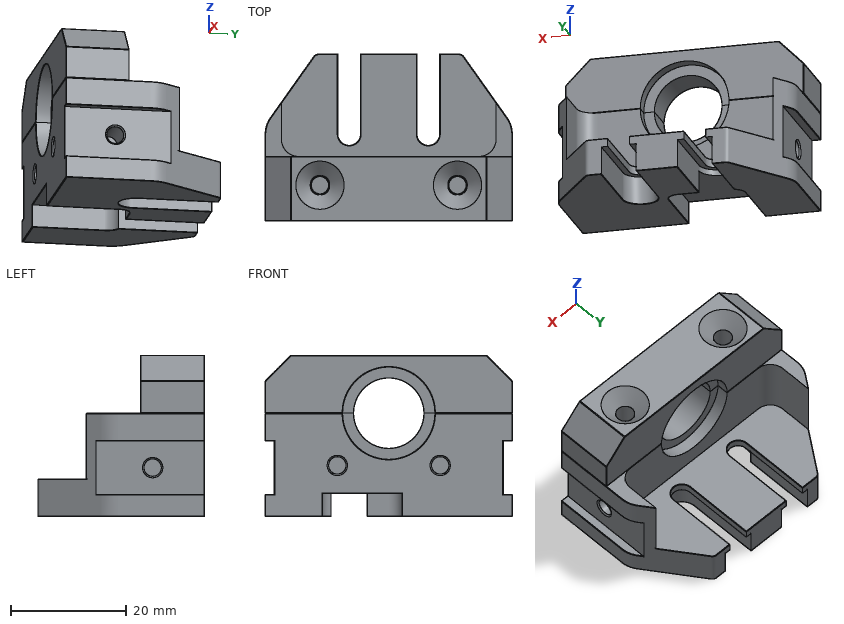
import cadquery as cq

WIDTH = 42.9
LENGTH = 28.9
HEIGHT = 27.95
HALF_WIDTH = WIDTH / 2
EDGE_BREAK = 0.1

SHOULDER_Y = 16.55
TAIL_HALF_WIDTH = 12.7
SHOULDER_RADIUS = 5.0
TAIL_RADIUS = 1.0

JOINT_Z = 17.95
CAP_DEPTH = 11.15
CAP_CHAMFER = 4.45

BORE_DIAMETER = 12.2
SEAT_DIAMETER = 16.0
FRONT_SEAT_DEPTH = 2.65
REAR_SEAT_DEPTH = 2.25

PLATE_THICKNESS = 6.5
RECESS_HALF_WIDTH = 18.6
RECESS_CORNER_RADIUS = 3.0

SLOT_OFFSET = 6.85
SLOT_WIDTH = 3.95
SLOT_END_Y = 13.1
SLOT_ROUND_Y = SLOT_END_Y + SLOT_WIDTH / 2

CHANNEL_WIDTH = 6.25
CHANNEL_HEIGHT = 5.0

GROOVE_DEPTH = 1.6
GROOVE_BOTTOM_Z = 3.85
GROOVE_TOP_Z = 13.13

POCKET_LEFT_X = -11.45
POCKET_RIGHT_X = 2.3
POCKET_HEIGHT = 4.0
POCKET_DEPTH = SLOT_ROUND_Y
POCKET_CORNER_RADIUS = 2.2

TAP_DIAMETER = 3.0
TAP_CHAMFER = 0.25
TAP_DEPTH = 6.85
FRONT_TAP_X = 8.92
FRONT_TAP_Z = 8.9
SIDE_TAP_Y = 9.0
SIDE_TAP_Z = (GROOVE_BOTTOM_Z + GROOVE_TOP_Z) / 2

SCREW_X = 11.93
SCREW_Y = 6.18
SCREW_CLEARANCE = 3.3
COUNTERSINK_DIAMETER = 8.35
COUNTERSINK_ANGLE = 90.0


def box(x_min, x_max, y_min, y_max, z_min, z_max):
    """Axis-aligned box between the given limits."""
    size = (x_max - x_min, y_max - y_min, z_max - z_min)
    return cq.Workplane("XY").box(*size, centered=False).translate((x_min, y_min, z_min))


def bearing_bore():
    """Through bore with a wider bearing seat at the front and at the rear."""
    def cylinder(diameter, start_y, length):
        plane = cq.Workplane("XZ", origin=(0, start_y + length, JOINT_Z))
        return plane.circle(diameter / 2).extrude(length)

    bore = cylinder(BORE_DIAMETER, 0, CAP_DEPTH)
    bore = bore.union(cylinder(SEAT_DIAMETER, 0, FRONT_SEAT_DEPTH))
    bore = bore.union(cylinder(SEAT_DIAMETER, CAP_DEPTH - REAR_SEAT_DEPTH, REAR_SEAT_DEPTH))
    seat_radius = SEAT_DIAMETER / 2
    mouth = cq.Solid.makeCone(
        seat_radius + EDGE_BREAK, seat_radius, EDGE_BREAK, cq.Vector(0, 0, JOINT_Z), cq.Vector(0, 1, 0)
    )
    return bore.union(cq.Workplane(mouth))


def tapped_hole(mouth, inward):
    """Blind hole with a chamfered mouth, drilled from a point along a direction."""
    point = cq.Vector(*mouth)
    direction = cq.Vector(*inward)
    radius = TAP_DIAMETER / 2
    drill = cq.Solid.makeCylinder(radius, TAP_DEPTH, point, direction)
    chamfer = cq.Solid.makeCone(radius + TAP_CHAMFER, radius, TAP_CHAMFER, point, direction)
    return cq.Workplane(drill).union(cq.Workplane(chamfer))


def base_blank():
    """Base plan outline with rounded shoulders and tail corners."""
    outline = [
        (-HALF_WIDTH, 0),
        (HALF_WIDTH, 0),
        (HALF_WIDTH, SHOULDER_Y),
        (TAIL_HALF_WIDTH, LENGTH),
        (-TAIL_HALF_WIDTH, LENGTH),
        (-HALF_WIDTH, SHOULDER_Y),
    ]
    blank = cq.Workplane("XY").polyline(outline).close().extrude(JOINT_Z)
    for side in (-1, 1):
        shoulder = cq.selectors.NearestToPointSelector((side * HALF_WIDTH, SHOULDER_Y, JOINT_Z / 2))
        blank = blank.edges(shoulder).fillet(SHOULDER_RADIUS)
        tail = cq.selectors.NearestToPointSelector((side * TAIL_HALF_WIDTH, LENGTH, JOINT_Z / 2))
        blank = blank.edges(tail).fillet(TAIL_RADIUS)
    return blank


def rear_recess():
    """Space above the mounting plate, with rounded front corners."""
    recess = box(-RECESS_HALF_WIDTH, RECESS_HALF_WIDTH, CAP_DEPTH, LENGTH, PLATE_THICKNESS, JOINT_Z)
    return recess.edges("|Z and <Y").fillet(RECESS_CORNER_RADIUS)


def round_ended_slot(center_x, width, height):
    """Slot rising from the underside, round at the front and open at the rear edge."""
    radius = width / 2
    straight = box(center_x - radius, center_x + radius, SLOT_ROUND_Y, LENGTH, 0, height)
    round_end = cq.Workplane("XY").center(center_x, SLOT_ROUND_Y).circle(radius).extrude(height)
    return straight.union(round_end)


def plate_slot(center_x):
    """Bolt slot through the plate together with its head channel."""
    slot = round_ended_slot(center_x, SLOT_WIDTH, PLATE_THICKNESS)
    return slot.union(round_ended_slot(center_x, CHANNEL_WIDTH, CHANNEL_HEIGHT))


def side_groove(side):
    """Full-length groove in the left (-1) or right (+1) side."""
    x_min, x_max = sorted((side * HALF_WIDTH, side * (HALF_WIDTH - GROOVE_DEPTH)))
    return box(x_min, x_max, 0, LENGTH, GROOVE_BOTTOM_Z, GROOVE_TOP_Z)


def underside_pocket():
    """Pocket open at the front and below, with rounded rear corners."""
    pocket = box(POCKET_LEFT_X, POCKET_RIGHT_X, 0, POCKET_DEPTH, 0, POCKET_HEIGHT)
    return pocket.edges("|Z and >Y").fillet(POCKET_CORNER_RADIUS)


def break_base_edges(base):
    """Small chamfers on the outer edges of the base."""
    for side in (-1, 1):
        for edge_z in (GROOVE_BOTTOM_Z, GROOVE_TOP_Z, JOINT_Z):
            side_edge = cq.selectors.NearestToPointSelector((side * HALF_WIDTH, SHOULDER_Y / 2, edge_z))
            base = base.edges(side_edge).chamfer(EDGE_BREAK)
    plate_points = [(0, LENGTH)]
    for side in (-1, 1):
        plate_points.append((side * (SLOT_OFFSET + TAIL_HALF_WIDTH) / 2, LENGTH))
        plate_points.append((side * SLOT_OFFSET, SLOT_END_Y))
    for x, y in plate_points:
        plate_edge = cq.selectors.NearestToPointSelector((x, y, PLATE_THICKNESS))
        base = base.edges(plate_edge).chamfer(EDGE_BREAK)
    for outer_face in ("<Y", "<Z"):
        base = base.faces(outer_face).edges().chamfer(EDGE_BREAK)
    return base


def make_base():
    """Lower body: half of the bearing housing with the slotted mounting plate."""
    base = base_blank().cut(rear_recess()).cut(underside_pocket())
    for side in (-1, 1):
        base = base.cut(plate_slot(side * SLOT_OFFSET)).cut(side_groove(side))
    base = break_base_edges(base)

    base = base.cut(bearing_bore())
    groove_floor_x = HALF_WIDTH - GROOVE_DEPTH
    for side in (-1, 1):
        base = base.cut(tapped_hole((side * FRONT_TAP_X, 0, FRONT_TAP_Z), (0, 1, 0)))
        base = base.cut(tapped_hole((side * groove_floor_x, SIDE_TAP_Y, SIDE_TAP_Z), (-side, 0, 0)))
        base = base.cut(tapped_hole((side * SCREW_X, SCREW_Y, JOINT_Z), (0, 0, -1)))
    return base


def make_cap():
    """Upper body: bearing cap with two countersunk screw holes."""
    cap = box(-HALF_WIDTH, HALF_WIDTH, 0, CAP_DEPTH, JOINT_Z, HEIGHT)
    cap = cap.edges("|Y and >Z").chamfer(CAP_CHAMFER)
    cap = cap.edges().chamfer(EDGE_BREAK)
    cap = cap.cut(bearing_bore())
    screws = cap.faces(">Z").workplane(origin=(0, SCREW_Y, HEIGHT)).pushPoints([(-SCREW_X, 0), (SCREW_X, 0)])
    return screws.cskHole(SCREW_CLEARANCE, COUNTERSINK_DIAMETER, COUNTERSINK_ANGLE)


base = make_base()
cap = make_cap()

result = cq.Compound.makeCompound([base.solids().val(), cap.solids().val()])